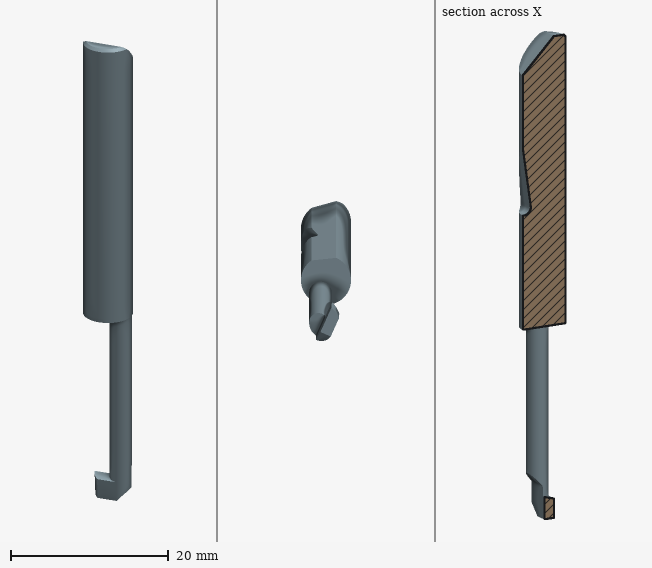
import math

import cadquery as cq

TOTAL_LENGTH = 63.5
NECK_LENGTH = 25.4

SHANK_DIAMETER = 6.35
SHANK_RADIUS = SHANK_DIAMETER / 2
FLAT_START_ANGLE = 120.0
FLAT_END_ANGLE = 180.0
END_CHAMFER = 0.35
BEVEL_EDGE_Y = -1.4
BEVEL_DROP = SHANK_RADIUS - BEVEL_EDGE_Y

NOTCH_BOTTOM_Z = 40.5
NOTCH_TOP_Z = 49.4
NOTCH_FLOOR_Y = 1.85
NOTCH_CORNER_RADIUS = 0.9

NECK_RADIUS = 1.43
NECK_CENTER_X = SHANK_RADIUS - NECK_RADIUS

RELIEF_TOP_Z = 5.9
RELIEF_BOTTOM_Z = 4.3
RELIEF_CORNER_RADIUS = 0.4

TIP_CHAMFER = 1.5

HEAD_HEIGHT = 3.0
HEAD_TOP_DROP = 0.4
EDGE_X = -1.82
HEEL_X = -0.95
SIDE_TAPER = 0.12
FLANK_BULGE = 0.12


def polar_point(radius, degrees):
    angle = math.radians(degrees)
    return (radius * math.cos(angle), radius * math.sin(angle))


def prism_along_x(profile):
    """Closed (y, z) polygon extruded across the whole shank width."""
    return cq.Workplane("YZ").polyline(profile).close().extrude(SHANK_RADIUS, both=True)


def make_shank():
    flat_start = polar_point(SHANK_RADIUS, FLAT_START_ANGLE)
    flat_end = polar_point(SHANK_RADIUS, FLAT_END_ANGLE)
    arc_middle = polar_point(SHANK_RADIUS, (FLAT_START_ANGLE + FLAT_END_ANGLE) / 2 + 180.0)
    section = (
        cq.Workplane("XY", origin=(0, 0, NECK_LENGTH))
        .moveTo(*flat_end)
        .threePointArc(arc_middle, flat_start)
        .close()
        .extrude(TOTAL_LENGTH - NECK_LENGTH)
    )
    envelope = (
        cq.Workplane("XZ")
        .polyline([
            (0, NECK_LENGTH),
            (SHANK_RADIUS, NECK_LENGTH),
            (SHANK_RADIUS, TOTAL_LENGTH - END_CHAMFER),
            (SHANK_RADIUS - END_CHAMFER, TOTAL_LENGTH),
            (0, TOTAL_LENGTH),
        ])
        .close()
        .revolve(360, (0, 0, 0), (0, 1, 0))
    )
    return section.intersect(envelope).cut(make_bevel()).cut(make_notch())


def make_bevel():
    return prism_along_x([
        (BEVEL_EDGE_Y, TOTAL_LENGTH),
        (SHANK_RADIUS, TOTAL_LENGTH),
        (SHANK_RADIUS, TOTAL_LENGTH - BEVEL_DROP),
    ])


def make_notch():
    """Ramp that deepens downwards and ends in a rounded corner."""
    ramp = prism_along_x([
        (SHANK_RADIUS, NOTCH_TOP_Z),
        (NOTCH_FLOOR_Y, NOTCH_BOTTOM_Z),
        (SHANK_RADIUS, NOTCH_BOTTOM_Z),
    ])
    return ramp.edges("<Y").fillet(NOTCH_CORNER_RADIUS)


def make_neck():
    neck = cq.Workplane("XY").center(NECK_CENTER_X, 0).circle(NECK_RADIUS).extrude(NECK_LENGTH)
    relief = prism_along_x([
        (0, 0),
        (NECK_RADIUS, 0),
        (NECK_RADIUS, RELIEF_TOP_Z),
        (0, RELIEF_BOTTOM_Z),
    ])
    inner_corner = cq.selectors.NearestToPointSelector((0, 0, RELIEF_BOTTOM_Z))
    relief = relief.edges(inner_corner).fillet(RELIEF_CORNER_RADIUS)
    tip_chamfer = (
        cq.Workplane("XZ")
        .polyline([
            (SHANK_RADIUS - TIP_CHAMFER, 0),
            (SHANK_RADIUS, 0),
            (SHANK_RADIUS, TIP_CHAMFER),
        ])
        .close()
        .extrude(SHANK_RADIUS, both=True)
    )
    return neck.cut(relief).cut(tip_chamfer)


def head_section(workplane, inset):
    """Head outline from the rake face (y = 0) to the plane tangent to the neck."""
    edge = (EDGE_X + inset, 0)
    heel = (HEEL_X + inset, -NECK_RADIUS)
    chord_x = heel[0] - edge[0]
    chord_y = heel[1] - edge[1]
    chord = math.hypot(chord_x, chord_y)
    flank_middle = (
        (edge[0] + heel[0]) / 2 + FLANK_BULGE * chord_y / chord,
        (edge[1] + heel[1]) / 2 - FLANK_BULGE * chord_x / chord,
    )
    return (
        workplane.moveTo(*edge)
        .threePointArc(flank_middle, heel)
        .lineTo(NECK_CENTER_X, -NECK_RADIUS)
        .lineTo(NECK_CENTER_X, 0)
        .close()
    )


def make_head():
    bottom = head_section(cq.Workplane("XY"), SIDE_TAPER)
    block = head_section(bottom.workplane(offset=HEAD_HEIGHT), 0).loft(ruled=True)
    top_relief = prism_along_x([
        (0, HEAD_HEIGHT),
        (-NECK_RADIUS, HEAD_HEIGHT),
        (-NECK_RADIUS, HEAD_HEIGHT - HEAD_TOP_DROP),
    ])
    return block.cut(top_relief)


result = make_shank().union(make_neck()).union(make_head())